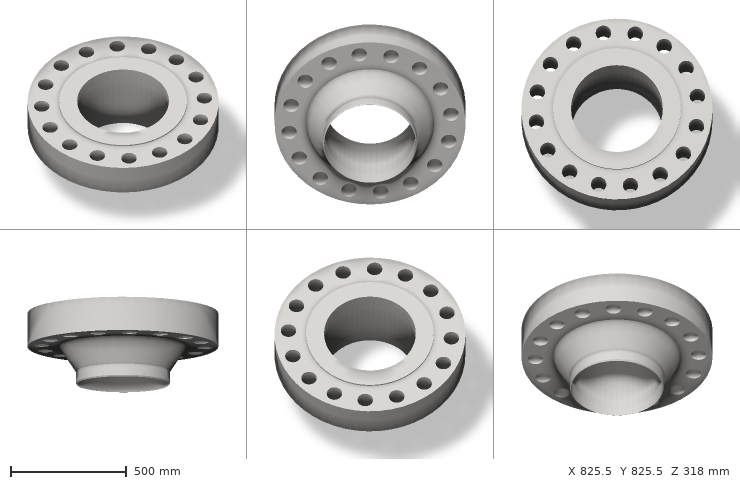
import cadquery as cq

flange_diameter = 825.5
total_height = 318.0

face_diameter = 552.0
face_height = 7.0
flange_thickness = 146.0

hub_base_diameter = 552.0
neck_diameter = 406.0
neck_length = 55.0
weld_bevel_width = 4.0
weld_bevel_height = 6.0
bore_diameter = 396.0

bolt_count = 16
bolt_hole_diameter = 67.0
bolt_circle_diameter = 705.0

flange_top = total_height - face_height
flange_bottom = flange_top - flange_thickness


def flange_body():
    """Revolve the solid outer profile about Z."""
    neck_radius = neck_diameter / 2
    profile = [
        (0, 0),
        (neck_radius - weld_bevel_width, 0),
        (neck_radius, weld_bevel_height),
        (neck_radius, neck_length),
        (hub_base_diameter / 2, flange_bottom),
        (flange_diameter / 2, flange_bottom),
        (flange_diameter / 2, flange_top),
        (face_diameter / 2, flange_top),
        (face_diameter / 2, total_height),
        (0, total_height),
    ]
    return cq.Workplane("XZ").polyline(profile).close().revolve(360, (0, 0), (0, 1))


def bore():
    return cq.Workplane("XY").circle(bore_diameter / 2).extrude(total_height)


def bolt_holes():
    half_pitch_angle = 180 / bolt_count
    return (
        cq.Workplane("XY")
        .workplane(offset=flange_bottom)
        .polarArray(bolt_circle_diameter / 2, half_pitch_angle, 360, bolt_count)
        .circle(bolt_hole_diameter / 2)
        .extrude(flange_thickness)
    )


result = flange_body().cut(bore()).cut(bolt_holes())